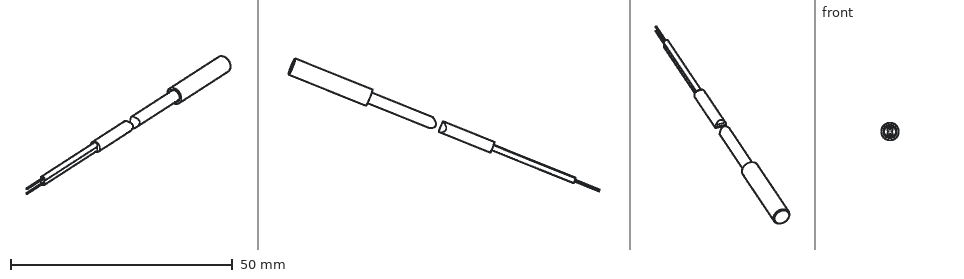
import cadquery as cq

total_length = 75.0
front_end = total_length / 2
wire_tip = -total_length / 2

housing_diameter = 4.0
housing_length = 19.0
housing_edge_chamfer = 0.2
bore_diameter = 3.0
bore_depth = 1.0
housing_rear = front_end - housing_length
bore_floor = housing_rear + bore_depth

cable_diameter = 2.6
break_height = 0.6
break_top_setback = 0.45
break_bottom_setback = 1.3
break_upper_apex = 3.6
break_lower_apex = 1.1
break_depth = 3.0
cable_end = -11.5

lead_diameter = 1.2
conductor_diameter = 0.3
conductor_length = 6.0
lead_spacing = 1.05
conductor_spacing = 1.2
lead_end = wire_tip + conductor_length


def rod(diameter, y_start, y_end, z=0.0):
    """Round rod along Y between two stations."""
    return (
        cq.Workplane("XZ", origin=(0, y_start, z))
        .circle(diameter / 2)
        .extrude(y_start - y_end)
    )


def break_block(apex):
    """Block whose +Y side is the curved break, bulging to its apex above the cable axis."""
    cable_radius = cable_diameter / 2
    back_y = apex - break_depth
    top = (apex - break_top_setback, cable_radius)
    bottom = (apex - break_bottom_setback, -cable_radius)
    return (
        cq.Workplane("YZ", origin=(-cable_radius, 0, 0))
        .moveTo(*bottom)
        .spline([(apex, break_height), top], includeCurrent=True)
        .lineTo(back_y, cable_radius)
        .lineTo(back_y, -cable_radius)
        .close()
        .extrude(cable_diameter)
    )


def make_housing():
    """Cylinder with a chamfered closed end and a bore around the cable at its rear."""
    body = rod(housing_diameter, housing_rear, front_end).faces(">Y").chamfer(housing_edge_chamfer)
    return body.cut(rod(bore_diameter, housing_rear, bore_floor))


def make_sensor_side_cable():
    """Cable from the floor of the housing bore to the hollow side of the break."""
    cable = rod(cable_diameter, break_upper_apex - break_depth, bore_floor)
    return cable.cut(break_block(break_upper_apex))


def make_lead_side_cable():
    """Cable from the raised side of the break, carrying both leads."""
    block_back = break_lower_apex - break_depth
    broken_end = rod(cable_diameter, block_back, break_lower_apex).intersect(break_block(break_lower_apex))
    cable = rod(cable_diameter, cable_end, block_back).union(broken_end)
    for side in (-1, 1):
        lead_z = side * lead_spacing / 2
        conductor_z = side * conductor_spacing / 2
        cable = cable.union(rod(lead_diameter, lead_end, block_back, lead_z))
        cable = cable.union(rod(conductor_diameter, wire_tip, cable_end, conductor_z))
    return cable


housing = make_housing()
sensor_side_cable = make_sensor_side_cable()
lead_side_cable = make_lead_side_cable()

result = cq.Compound.makeCompound([
    housing.val(),
    sensor_side_cable.val(),
    lead_side_cable.val(),
])